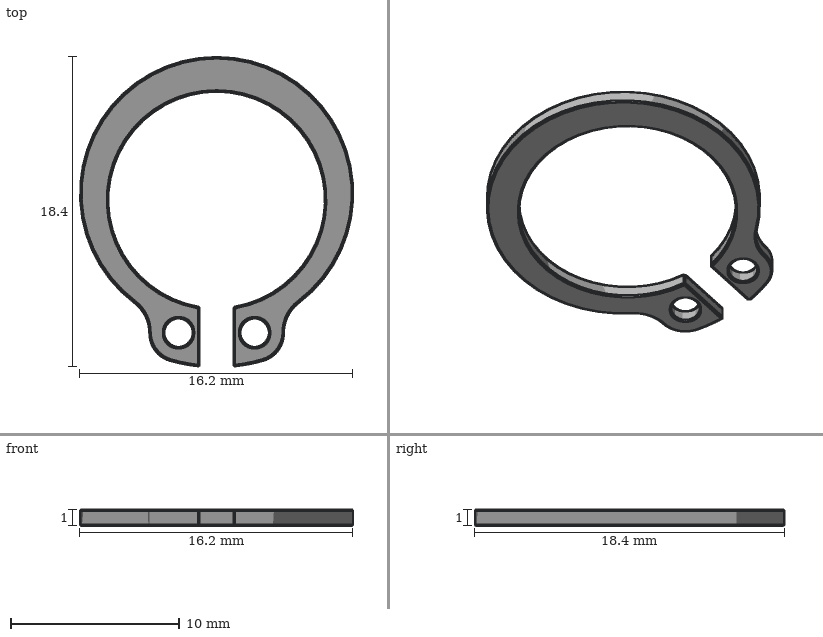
import cadquery as cq
import math

overall_length = 18.38
thickness = 1.0
bore_radius = 6.43
rim_diameter = 16.23
lug_tip_radius = 9.95
gap_width = 2.0
hole_diameter = 1.7
hole_x = 2.26
hole_y = -7.89
edge_break = 0.1

rim_radius = rim_diameter / 2
tip_corner_x = gap_width / 2 + edge_break
lug_tip_depth = math.sqrt(lug_tip_radius**2 - tip_corner_x**2)
rim_offset = overall_length - lug_tip_depth - rim_radius

hole_distance = math.hypot(hole_x, hole_y)
lug_radius = lug_tip_radius - hole_distance
lug_side_x = hole_x + lug_radius

rim_to_hole_y = rim_offset - hole_y
neck_radius = (lug_side_x**2 + rim_to_hole_y**2 - rim_radius**2) / (2 * (rim_radius - lug_side_x))
neck_center = (lug_side_x + neck_radius, hole_y)


def point_on_arc(center, radius, angle):
    return (center[0] + radius * math.cos(angle), center[1] + radius * math.sin(angle))


def mirrored(point):
    return (-point[0], point[1])


def outer_outline():
    """Rim and both lugs, with the gap still filled."""
    hole_center = (hole_x, hole_y)
    rim_center = (0, rim_offset)
    neck_angle = math.atan2(-rim_to_hole_y, neck_center[0])
    tip_angle = math.atan2(hole_y, hole_x)

    rim_end = point_on_arc(rim_center, rim_radius, neck_angle)
    neck_middle = point_on_arc(neck_center, neck_radius, math.pi + neck_angle / 2)
    lug_side = (lug_side_x, hole_y)
    lug_middle = point_on_arc(hole_center, lug_radius, tip_angle / 2)
    tip_end = point_on_arc((0, 0), lug_tip_radius, tip_angle)

    return (
        cq.Workplane("XY")
        .moveTo(*rim_end)
        .threePointArc((0, rim_offset + rim_radius), mirrored(rim_end))
        .threePointArc(mirrored(neck_middle), mirrored(lug_side))
        .threePointArc(mirrored(lug_middle), mirrored(tip_end))
        .threePointArc((0, -lug_tip_radius), tip_end)
        .threePointArc(lug_middle, lug_side)
        .threePointArc(neck_middle, rim_end)
        .close()
    )


def lug_gap():
    """Slot between the lugs, open from the bore to the tips."""
    return (
        cq.Workplane("XY")
        .center(0, -lug_tip_radius / 2)
        .rect(gap_width, lug_tip_radius)
        .extrude(thickness)
    )


def bore_and_holes():
    """Cutters for the bore and the two plier holes."""
    return (
        cq.Workplane("XY")
        .circle(bore_radius)
        .pushPoints([(-hole_x, hole_y), (hole_x, hole_y)])
        .circle(hole_diameter / 2)
        .extrude(thickness)
    )


ring = outer_outline().extrude(thickness).cut(bore_and_holes()).cut(lug_gap())

gap_corners = cq.selectors.BoxSelector(
    (-tip_corner_x, -lug_tip_radius, 0),
    (tip_corner_x, 0, thickness),
)
ring = ring.edges("|Z").edges(gap_corners).chamfer(edge_break)
result = ring.faces("<Z or >Z").edges().chamfer(edge_break)